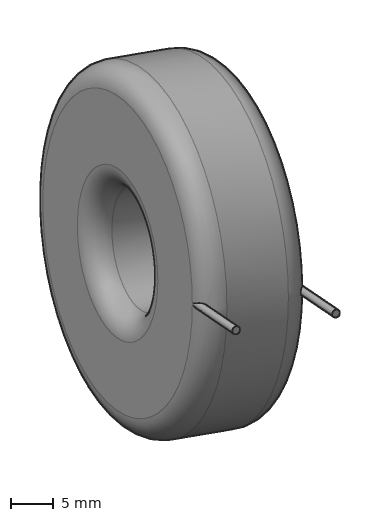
import cadquery as cq

outer_diameter = 45.0
bore_diameter = 15.0
core_width = 14.0
edge_radius = 3.0

lead_diameter = 1.0
lead_tip_x = 30.0
lead_root_x = outer_diameter / 2 - edge_radius
lead_offset_y = (core_width - lead_diameter) / 2


def make_core():
    """Ring with all four circular edges rounded."""
    return (
        cq.Workplane("XZ", origin=(0, core_width / 2, 0))
        .circle(outer_diameter / 2)
        .circle(bore_diameter / 2)
        .extrude(core_width)
        .faces("|Y")
        .edges()
        .fillet(edge_radius)
    )


def make_lead(y):
    """Round wire that leaves the rounded outer edge at the given Y."""
    return (
        cq.Workplane("YZ", origin=(lead_root_x, y, 0))
        .circle(lead_diameter / 2)
        .extrude(lead_tip_x - lead_root_x)
    )


result = make_core()
for side in (-1, 1):
    result = result.union(make_lead(side * lead_offset_y))